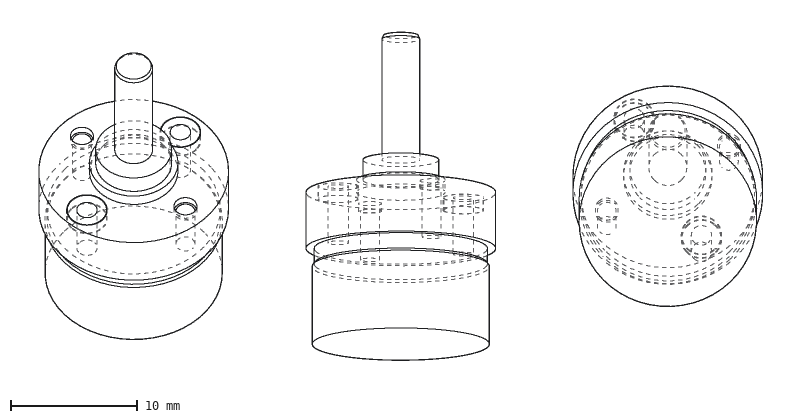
import cadquery as cq

body_dia = 14.0
neck_dia = 13.7
flange_dia = 15.0
collar_dia = 7.0
boss_dia = 6.0
shaft_dia = 3.0
body_top = 6.45
neck_top = 7.7
flange_top = 12.2
collar_top = 13.2
boss_top = 14.8
shaft_top = 24.8

body_chamfer_height = 0.2
body_chamfer_width = (body_dia - neck_dia) / 2
shaft_chamfer_height = 0.3
shaft_chamfer_width = 0.12

pitch_radius = 5.5
hole_depth = flange_top - neck_top
pilot_dia = 1.5
pocket_dia = 1.8
pocket_depth = 0.6
bush_hole_dia = 1.6
bush_dia = 3.1
bush_seat_dia = 3.2
bush_gap_depth = 1.0


def cylinder(diameter, bottom, top):
    """Upright cylinder on the part's axis."""
    return cq.Workplane("XY").workplane(offset=bottom).circle(diameter / 2).extrude(top - bottom)


def flange_cutter(diameter, depth):
    """Round cutter reaching down from the flange face."""
    return cylinder(diameter, flange_top - depth, flange_top)


def chamfer_top(solid, height, width):
    """Chamfer the top rim of a cylinder."""
    return solid.faces(">Z").edges().chamfer(height, width)


body = chamfer_top(cylinder(body_dia, 0, body_top), body_chamfer_height, body_chamfer_width)
shaft = chamfer_top(cylinder(shaft_dia, boss_top, shaft_top), shaft_chamfer_height, shaft_chamfer_width)
result = (
    body.union(cylinder(neck_dia, body_top, neck_top))
    .union(cylinder(flange_dia, neck_top, flange_top))
    .union(cylinder(collar_dia, flange_top, collar_top))
    .union(cylinder(boss_dia, collar_top, boss_top))
    .union(shaft)
)

pocket = flange_cutter(pocket_dia, pocket_depth)
pilot = flange_cutter(pilot_dia, hole_depth)

bush_gap = flange_cutter(bush_seat_dia, bush_gap_depth).cut(flange_cutter(bush_dia, bush_gap_depth))
bush_hole = flange_cutter(bush_hole_dia, hole_depth)

for offset in (-pitch_radius, pitch_radius):
    for cutter in (pocket, pilot):
        result = result.cut(cutter.translate((offset, 0, 0)))
    for cutter in (bush_gap, bush_hole):
        result = result.cut(cutter.translate((0, offset, 0)))